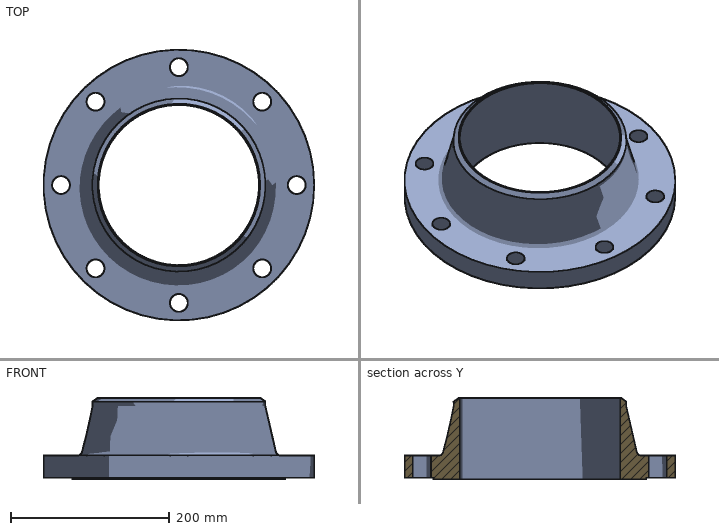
import cadquery as cq

flange_diameter = 342.8
total_height = 103.2
bore_diameter = 202.5

face_diameter = 269.8
face_height = 1.7
plate_top = 30.0

hub_base_diameter = 248.0
hub_fillet = 6.0
selection_margin = 0.5
neck_diameter = 219.0
neck_length = 10.5
weld_bevel_height = 4.8
weld_end_diameter = 206.0

bolt_count = 8
bolt_circle_diameter = 298.2
bolt_hole_diameter = 22.3


def make_body():
    """Revolve the half section of face, plate, tapered hub and weld end."""
    profile = [
        (bore_diameter / 2, 0),
        (face_diameter / 2, 0),
        (face_diameter / 2, face_height),
        (flange_diameter / 2, face_height),
        (flange_diameter / 2, plate_top),
        (hub_base_diameter / 2, plate_top),
        (neck_diameter / 2, total_height - neck_length),
        (neck_diameter / 2, total_height - weld_bevel_height),
        (weld_end_diameter / 2, total_height),
        (bore_diameter / 2, total_height),
    ]
    return cq.Workplane("XZ").polyline(profile).close().revolve(360, (0, 0, 0), (0, 1, 0))


def fillet_hub_base(body):
    """Round the inside corner between the hub and the plate."""
    reach = hub_base_diameter / 2 + selection_margin
    around_corner = cq.selectors.BoxSelector(
        (-reach, -reach, plate_top - selection_margin),
        (reach, reach, plate_top + selection_margin),
        boundingbox=True,
    )
    return body.edges(around_corner).fillet(hub_fillet)


def drill_bolt_holes(body):
    """Drill the ring of through holes, the first one on +X."""
    holes = (
        cq.Workplane("XY")
        .polarArray(bolt_circle_diameter / 2, 0, 360, bolt_count)
        .circle(bolt_hole_diameter / 2)
        .extrude(plate_top)
    )
    return body.cut(holes)


result = drill_bolt_holes(fillet_hub_base(make_body()))